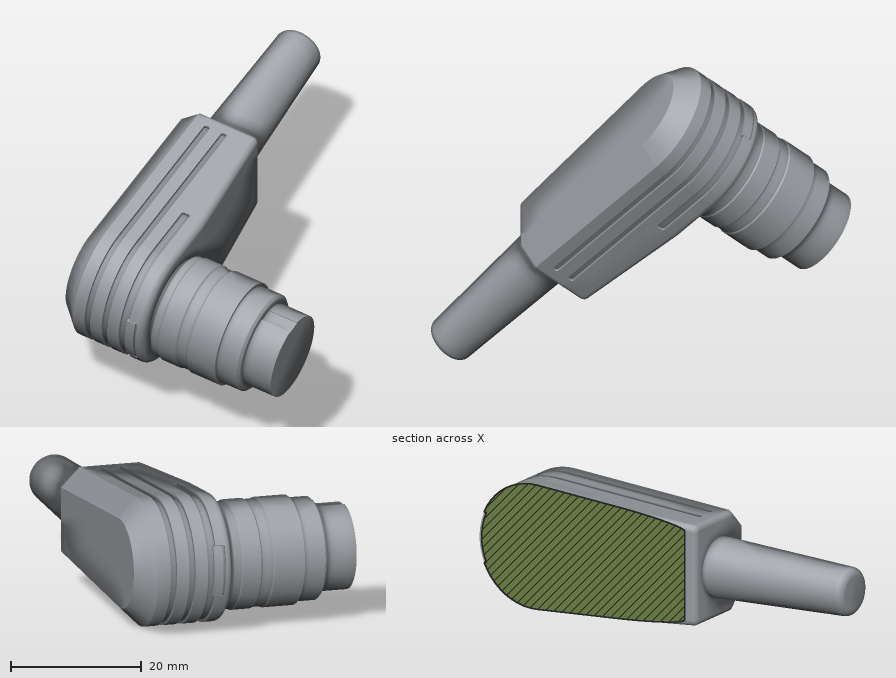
import cadquery as cq
import math

HOUSING_DEPTH = 15.0
HOUSING_RADIUS = 10.0
HOUSING_END_Y = 29.55
HOUSING_END_HALF_HEIGHT = 8.0
BACK_CHAMFER = 3.0
FRONT_FILLET = 1.0
END_FILLET = 0.9

SLOPE_START_Y = 9.4
SLOPE_END_X = 13.35

GROOVE_DEPTH = 0.5
GROOVE_CORNER_RADIUS = 0.35
GROOVES = [
    (5.0, 1.0, 27.4),
    (8.0, 1.0, 27.4),
    (11.0, 1.4, 9.9),
]

POCKET_END_X = 13.9
POCKET_HALF_HEIGHT = 4.0
POCKET_DEPTH = 0.4
TAB_START_X = 12.05
TAB_END_X = 13.5
TAB_RECESS = 0.05
TAB_SIDE_GAP = 0.12
TAB_ROOT_DEPTH = 2 * POCKET_DEPTH

NECK_DIAMETER = 14.9
REAR_RING_DIAMETER = 16.6
GRIP_DIAMETER = 17.0
FRONT_RING_DIAMETER = 16.0
PLUG_DIAMETER = 13.5
REAR_RING_X = 15.5
REAR_GRIP_X = 16.95
GRIP_WAIST_X = 20.3
FRONT_GRIP_X = 22.05
FRONT_RING_X = 27.1
PLUG_X = 31.0
CONNECTOR_END_X = 36.0
REAR_RING_FILLET = 0.6
GRIP_CHAMFER = 0.2
FRONT_RING_CHAMFER = 0.4
NECK_ROOT_X = HOUSING_DEPTH - FRONT_FILLET

KEYWAY_MIN_Y = -0.8
KEYWAY_MAX_Y = 1.4
KEYWAY_FLOOR_Z = 6.5

BOOT_CENTER_X = 6.75
BOOT_BASE_RADIUS = 4.85
BOOT_TIP_RADIUS = 3.8
BOOT_TIP_Y = 54.28
BOOT_TIP_FILLET = 1.2
BOOT_OVERLAP = 1.0


def teardrop(inset, end_y):
    """Full-depth prism of the housing outline, moved inwards by `inset`."""
    corner_distance = math.hypot(HOUSING_END_Y, HOUSING_END_HALF_HEIGHT)
    corner_angle = math.atan2(HOUSING_END_HALF_HEIGHT, HOUSING_END_Y)
    normal_angle = corner_angle + math.acos(HOUSING_RADIUS / corner_distance)
    radius = HOUSING_RADIUS - inset
    tangent_y = radius * math.cos(normal_angle)
    tangent_z = radius * math.sin(normal_angle)
    end_z = (radius - end_y * math.cos(normal_angle)) / math.sin(normal_angle)
    return (
        cq.Workplane("YZ")
        .moveTo(end_y, -end_z)
        .lineTo(end_y, end_z)
        .lineTo(tangent_y, tangent_z)
        .threePointArc((-radius, 0), (tangent_y, -tangent_z))
        .close()
        .extrude(HOUSING_DEPTH)
    )


def make_housing():
    spare_length = 2 * BACK_CHAMFER
    body = teardrop(0, HOUSING_END_Y + spare_length).faces("<X").chamfer(BACK_CHAMFER)
    side_profile = (
        cq.Workplane("XY")
        .moveTo(0, -HOUSING_RADIUS)
        .lineTo(HOUSING_DEPTH, -HOUSING_RADIUS)
        .lineTo(HOUSING_DEPTH, SLOPE_START_Y)
        .lineTo(SLOPE_END_X, HOUSING_END_Y)
        .lineTo(0, HOUSING_END_Y)
        .close()
        .extrude(HOUSING_RADIUS, both=True)
    )
    body = body.intersect(side_profile)
    sloped_face = cq.selectors.NearestToPointSelector(
        ((HOUSING_DEPTH + SLOPE_END_X) / 2, (SLOPE_START_Y + HOUSING_END_Y) / 2, 0)
    )
    flat_rim = body.faces(">X").edges("not |Z")
    sloped_rim = body.faces(sloped_face).edges("not |Z")
    body = flat_rim.add(sloped_rim).fillet(FRONT_FILLET)
    return body.faces(">Y").edges().fillet(END_FILLET)


def make_groove(start_x, width, end_y):
    """Groove around the round end and along both sides, with rounded closed ends."""
    length = end_y + 2 * HOUSING_RADIUS
    slab = (
        cq.Workplane("XY")
        .box(width, length, 3 * HOUSING_RADIUS)
        .edges("|Z and >Y")
        .fillet(GROOVE_CORNER_RADIUS)
        .translate((start_x + width / 2, end_y - length / 2, 0))
    )
    return slab.cut(teardrop(GROOVE_DEPTH, HOUSING_END_Y))


def round_end_block(start_x, end_x, half_height, outer_inset, inner_inset):
    """Curved block on the -Y round end, between two depths below its surface."""
    ring = cylinder_x(start_x, end_x, 2 * (HOUSING_RADIUS - outer_inset))
    ring = ring.cut(cylinder_x(start_x, end_x, 2 * (HOUSING_RADIUS - inner_inset)))
    window = cq.Workplane("XY").box(
        end_x - start_x,
        HOUSING_RADIUS,
        2 * half_height,
        centered=(False, False, True),
    )
    return ring.intersect(window.translate((start_x, -HOUSING_RADIUS, 0)))


def add_index_tab(housing):
    pocket = round_end_block(TAB_START_X, POCKET_END_X, POCKET_HALF_HEIGHT, 0, POCKET_DEPTH)
    tab = round_end_block(
        TAB_START_X,
        TAB_END_X,
        POCKET_HALF_HEIGHT - TAB_SIDE_GAP,
        TAB_RECESS,
        TAB_ROOT_DEPTH,
    )
    return housing.cut(pocket).union(tab)


def cylinder_x(start_x, end_x, diameter):
    return cq.Workplane("YZ", origin=(start_x, 0, 0)).circle(diameter / 2).extrude(end_x - start_x)


def make_connector():
    neck = cylinder_x(NECK_ROOT_X, REAR_RING_X, NECK_DIAMETER)
    rear_ring = cylinder_x(REAR_RING_X, REAR_GRIP_X, REAR_RING_DIAMETER)
    rear_ring = rear_ring.faces("<X").edges().fillet(REAR_RING_FILLET)
    rear_grip = cylinder_x(REAR_GRIP_X, GRIP_WAIST_X, GRIP_DIAMETER).edges().chamfer(GRIP_CHAMFER)
    waist = cylinder_x(GRIP_WAIST_X, FRONT_GRIP_X, REAR_RING_DIAMETER)
    front_grip = cylinder_x(FRONT_GRIP_X, FRONT_RING_X, GRIP_DIAMETER)
    front_grip = front_grip.faces("<X").chamfer(GRIP_CHAMFER)
    front_ring = cylinder_x(FRONT_RING_X, PLUG_X, FRONT_RING_DIAMETER)
    front_ring = front_ring.faces(">X").chamfer(FRONT_RING_CHAMFER)
    plug = cylinder_x(PLUG_X, CONNECTOR_END_X, PLUG_DIAMETER)
    connector = neck
    for section in (rear_ring, rear_grip, waist, front_grip, front_ring, plug):
        connector = connector.union(section)
    return connector.cut(make_keyway())


def make_keyway():
    return cq.Workplane("XY").box(
        CONNECTOR_END_X - PLUG_X,
        KEYWAY_MAX_Y - KEYWAY_MIN_Y,
        PLUG_DIAMETER / 2 - KEYWAY_FLOOR_Z,
        centered=False,
    ).translate((PLUG_X, KEYWAY_MIN_Y, KEYWAY_FLOOR_Z))


def make_boot():
    root_y = HOUSING_END_Y - BOOT_OVERLAP
    return (
        cq.Workplane("XY")
        .moveTo(BOOT_CENTER_X, root_y)
        .lineTo(BOOT_CENTER_X + BOOT_BASE_RADIUS, root_y)
        .lineTo(BOOT_CENTER_X + BOOT_TIP_RADIUS, BOOT_TIP_Y)
        .lineTo(BOOT_CENTER_X, BOOT_TIP_Y)
        .close()
        .revolve(360, (BOOT_CENTER_X, 0), (BOOT_CENTER_X, 1))
        .faces(">Y")
        .edges()
        .fillet(BOOT_TIP_FILLET)
    )


housing = make_housing()
for groove in GROOVES:
    housing = housing.cut(make_groove(*groove))

result = add_index_tab(housing).union(make_connector()).union(make_boot())